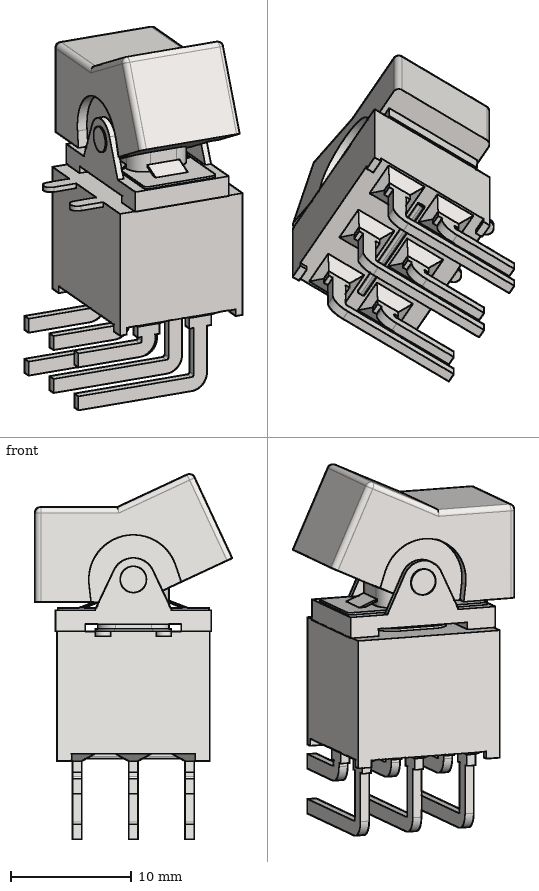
import cadquery as cq
import math


case_length = 12.73
case_width = 11.4
case_top = 10.4
foot_height = 0.6
foot_length = 1.22
foot_width = 0.65
cover_thickness = 0.43
cover_top = case_top + cover_thickness

tab_width = 1.28
tab_spacing = 5.05
tab_tip_y = -8.4

bracket_length = 13.0
bracket_width = 8.68
bracket_height = 1.77
bracket_top = cover_top + bracket_height
bracket_slot_length = 7.98
bracket_slot_height = 0.6
ear_thickness = 0.55
ear_radius = 1.8
ear_base_half = 3.2
pivot_z = 15.15
pivot_diameter = 2.2
pivot_protrusion = 0.12

bushing_length = 5.97
bushing_width = 5.42
bushing_corner = 1.5
flange_length = 6.35
flange_width = 5.8
flange_corner = 1.58
flange_height = 0.2
spring_length = 12.6
spring_width = 6.65
spring_thickness = 0.18
spring_corner = 0.37
leaf_width = 3.0
side_leaf_start = 4.57
side_leaf_rise = 0.67
front_leaf_start = 3.15
front_leaf_rise = 0.45
leaf_overlap = 0.15

rocker_width = 9.35
rocker_tilt = 12.5
wing_length = 6.88
wing_height = 7.92
valley_height = 6.18
rocker_fillet = 0.5
pocket_radius = 3.72
pocket_flare = 6.0
pocket_floor_y = bracket_width / 2 - ear_thickness

terminal_pitch = 4.7
row_spacing = 4.8
terminal_width = 0.8
terminal_thickness = 1.25
terminal_tip_y = -8.92
front_row_bottom = -2.7
back_row_bottom = -6.52
bend_inner_radius = 0.2
collar_width = 2.05
collar_depth = 0.95
potting_length = 2.95
potting_width = 3.55
base_rib_width = 0.65
base_rib_height = 0.43
base_rib_rounding = 0.25


def upright_box(length, width, bottom, top):
    """Box centred on the Z axis between two heights."""
    return cq.Workplane("XY", origin=(0, 0, bottom)).rect(length, width).extrude(top - bottom)


def rounded_box(length, width, corner, bottom, top):
    """Centred box with rounded vertical edges."""
    return upright_box(length, width, bottom, top).edges("|Z").fillet(corner)


def slab_along_y(sketch, y_low, y_high):
    """Turn a function that draws in the XZ plane into a slab between two Y positions."""
    plane = cq.Workplane("XZ", origin=(0, y_high, 0))
    return sketch(plane).extrude(y_high - y_low)


def make_case():
    """Box standing on four corner feet, with a round-edged rib along its base."""
    case = upright_box(case_length, case_width, 0, case_top)
    case = case.cut(upright_box(case_length - 2 * foot_length, case_width, 0, foot_height))
    case = case.cut(upright_box(case_length, case_width - 2 * foot_width, 0, foot_height))
    rib = (
        upright_box(2 * terminal_pitch, base_rib_width, foot_height - base_rib_height, foot_height)
        .edges("|X and <Z")
        .fillet(base_rib_rounding)
    )
    return case.union(rib)


def make_cover():
    """Cover plate with two round-ended grounding tabs."""
    cover = upright_box(case_length, case_width, case_top, cover_top)
    tab_reach = -tab_tip_y
    for x in (-tab_spacing / 2, tab_spacing / 2):
        tab = (
            cq.Workplane("XY", origin=(x, 0, case_top))
            .slot2D(2 * tab_reach, tab_width, 90)
            .extrude(cover_thickness)
            .intersect(
                cq.Workplane("XY", origin=(x, -tab_reach / 2, case_top))
                .rect(tab_width, tab_reach)
                .extrude(cover_thickness)
            )
        )
        cover = cover.union(tab)
    return cover


def ear_sketch(plane):
    """Tapering ear whose straight sides run tangent into its rounded tip."""
    drop = pivot_z - bracket_top
    corner_angle = math.atan2(-drop, ear_base_half)
    tangent_angle = corner_angle + math.acos(ear_radius / math.hypot(ear_base_half, drop))
    tangent_x = ear_radius * math.cos(tangent_angle)
    tangent_z = pivot_z + ear_radius * math.sin(tangent_angle)
    return (
        plane.moveTo(-ear_base_half, bracket_top)
        .lineTo(ear_base_half, bracket_top)
        .lineTo(tangent_x, tangent_z)
        .threePointArc((0, pivot_z + ear_radius), (-tangent_x, tangent_z))
        .close()
    )


def make_bracket():
    """Slotted base block, two ears and the pivot pin through them."""
    half_width = bracket_width / 2
    pin_half = half_width + pivot_protrusion
    bracket = upright_box(bracket_length, bracket_width, cover_top, bracket_top)
    slot_top = cover_top + bracket_slot_height
    bracket = bracket.cut(upright_box(bracket_slot_length, bracket_width, cover_top, slot_top))
    for low in (-half_width, half_width - ear_thickness):
        bracket = bracket.union(slab_along_y(ear_sketch, low, low + ear_thickness))

    def pin_sketch(plane):
        return plane.center(0, pivot_z).circle(pivot_diameter / 2)

    return bracket.union(slab_along_y(pin_sketch, -pin_half, pin_half))


def make_bushing():
    """Rounded bushing rising from a thin flange into the rocker."""
    flange_top = cover_top + flange_height
    flange = rounded_box(flange_length, flange_width, flange_corner, cover_top, flange_top)
    bushing = rounded_box(bushing_length, bushing_width, bushing_corner, cover_top, pivot_z)
    return flange.union(bushing)


def make_leaf(start, end, rise):
    """Sloping leaf on the +X side, climbing inward from start to end."""
    plate_top = bracket_top + spring_thickness

    def leaf_sketch(plane):
        return plane.polyline([
            (start, plate_top),
            (end, plate_top + rise),
            (end, plate_top + rise - spring_thickness),
            (start, bracket_top),
        ]).close()

    return slab_along_y(leaf_sketch, -leaf_width / 2, leaf_width / 2)


def make_spring():
    """Thin spring plate with four leaves climbing to the sides of the bushing."""
    plate_top = bracket_top + spring_thickness
    spring = rounded_box(spring_length, spring_width, spring_corner, bracket_top, plate_top)
    side_leaf = make_leaf(side_leaf_start, bushing_length / 2 - leaf_overlap, side_leaf_rise)
    front_leaf = make_leaf(front_leaf_start, bushing_width / 2 - leaf_overlap, front_leaf_rise)
    for leaf, first_angle in ((side_leaf, 0), (front_leaf, 90)):
        for angle in (first_angle, first_angle + 180):
            spring = spring.union(leaf.rotate((0, 0, 0), (0, 0, 1), angle))
    return spring


def edge_near(x, z):
    """Selector for rocker side edges whose midpoint lies at the given X and Z."""
    reach = rocker_width
    return cq.selectors.BoxSelector(
        (x - rocker_fillet, -reach, z - rocker_fillet), (x + rocker_fillet, reach, z + rocker_fillet)
    )


def pocket_sketch(plane):
    """Arched ear clearance, open below, with sides flaring slightly outward."""
    flare = math.radians(pocket_flare)
    arch_x = pocket_radius * math.cos(flare)
    arch_z = pocket_radius * math.sin(flare)
    skirt_z = -wing_height
    skirt_x = arch_x + (arch_z - skirt_z) * math.tan(flare)
    return (
        plane.moveTo(-skirt_x, skirt_z)
        .lineTo(skirt_x, skirt_z)
        .lineTo(arch_x, arch_z)
        .threePointArc((0, pocket_radius), (-arch_x, arch_z))
        .close()
    )


def make_rocker():
    """Two wings mirrored about the pivot line, pocketed for the ears, then tipped to one side."""
    tilt = math.radians(rocker_tilt)
    along = (math.cos(tilt), math.sin(tilt))
    down = (math.sin(tilt), -math.cos(tilt))
    bottom_centre = valley_height - wing_height / math.cos(tilt)
    tip_x = wing_length * along[0]
    tip_z = valley_height + wing_length * along[1]
    heel_x = tip_x + wing_height * down[0]
    heel_z = tip_z + wing_height * down[1]

    def outline(plane):
        return plane.polyline([
            (0, valley_height), (tip_x, tip_z), (heel_x, heel_z), (0, bottom_centre),
            (-heel_x, heel_z), (-tip_x, tip_z),
        ]).close()

    half_width = rocker_width / 2
    rocker = slab_along_y(outline, -half_width, half_width)
    round_edges = rocker.edges("|Y").edges(">Z")
    for side in (-1, 1):
        top_middle = (side * tip_x / 2, (valley_height + tip_z) / 2)
        end_middle = (side * (tip_x + heel_x) / 2, (tip_z + heel_z) / 2)
        for x, z in (top_middle, end_middle):
            round_edges = round_edges.add(rocker.edges(edge_near(x, z)))
    rocker = round_edges.fillet(rocker_fillet)

    rocker = rocker.cut(slab_along_y(pocket_sketch, pocket_floor_y, half_width))
    rocker = rocker.cut(slab_along_y(pocket_sketch, -half_width, -pocket_floor_y))
    return rocker.rotate((0, 0, 0), (0, 1, 0), -rocker_tilt).translate((0, 0, pivot_z))


def terminal_sketch(y, bottom):
    """L-shaped terminal side profile: straight down from the case, then bent to the front."""
    half = terminal_thickness / 2
    outer_radius = bend_inner_radius + terminal_thickness
    top = bottom + terminal_thickness
    leg_top = foot_height
    inner_y = y - half
    outer_y = y + half
    turn_y = inner_y - bend_inner_radius
    turn_z = top + bend_inner_radius
    diagonal = math.sqrt(0.5)
    return (
        cq.Workplane("YZ")
        .moveTo(outer_y, leg_top)
        .lineTo(outer_y, turn_z)
        .threePointArc((turn_y + outer_radius * diagonal, turn_z - outer_radius * diagonal), (turn_y, bottom))
        .lineTo(terminal_tip_y, bottom)
        .lineTo(terminal_tip_y, top)
        .lineTo(turn_y, top)
        .threePointArc(
            (turn_y + bend_inner_radius * diagonal, turn_z - bend_inner_radius * diagonal), (inner_y, turn_z)
        )
        .lineTo(inner_y, leg_top)
        .close()
    )


def make_terminal(x, y, bottom):
    """Bent terminal with its collar and the sloping potting around its root."""
    blade = terminal_sketch(y, bottom).extrude(terminal_width / 2, both=True).translate((x, 0, 0))
    collar = upright_box(terminal_width, collar_width, -collar_depth, foot_height).translate((x, y, 0))
    potting = (
        cq.Workplane("XY", origin=(x, y, 0))
        .rect(terminal_width, collar_width)
        .workplane(offset=foot_height)
        .rect(potting_length, potting_width)
        .loft()
    )
    return blade.union(collar).union(potting)


result = make_case().union(make_cover()).union(make_bracket()).union(make_bushing())
result = result.union(make_spring()).union(make_rocker())
for row_y, row_bottom in ((-row_spacing / 2, front_row_bottom), (row_spacing / 2, back_row_bottom)):
    for column in (-1, 0, 1):
        result = result.union(make_terminal(column * terminal_pitch, row_y, row_bottom))